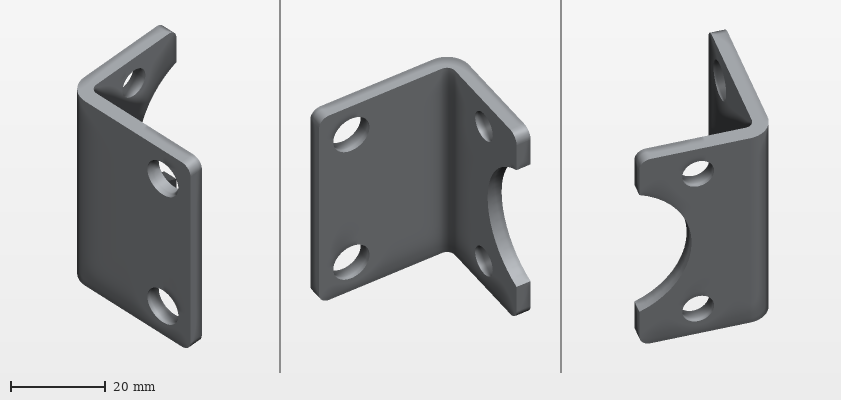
import cadquery as cq

width = 36.0
depth = 30.0
height = 52.0
thickness = 3.5

inner_bend_radius = 2.0
outer_bend_radius = inner_bend_radius + thickness
corner_radius = 2.5

front_hole_diameter = 9.0
front_hole_x = 28.0
front_hole_spacing = 36.0

side_hole_diameter = 7.0
side_hole_y = 17.0
side_hole_spacing = 38.0

cutout_radius = 17.5
cutout_center_y = 36.0


def bent_plate():
    """L-shaped plate with its outer bend edge along Z, centred on Z = 0."""
    plate = (
        cq.Workplane("XY")
        .workplane(offset=-height / 2)
        .polyline([
            (0, 0),
            (width, 0),
            (width, thickness),
            (thickness, thickness),
            (thickness, depth),
            (0, depth),
        ])
        .close()
        .extrude(height)
    )
    plate = plate.edges(cq.NearestToPointSelector((0, 0, 0))).fillet(outer_bend_radius)
    inner_edge = cq.NearestToPointSelector((thickness, thickness, 0))
    return plate.edges(inner_edge).fillet(inner_bend_radius)


def round_free_corners(plate):
    """Round the top and bottom corners at the free end of each leg."""
    plate = plate.faces(">X").edges("|Y").fillet(corner_radius)
    return plate.faces(">Y").edges("|X").fillet(corner_radius)


def front_cylinder(x, z, diameter):
    """Cutter along Y through the front leg."""
    start = cq.Vector(x, 0, z)
    return cq.Solid.makeCylinder(diameter / 2, thickness, start, cq.Vector(0, 1, 0))


def side_cylinder(y, z, diameter):
    """Cutter along X through the side leg."""
    start = cq.Vector(0, y, z)
    return cq.Solid.makeCylinder(diameter / 2, thickness, start, cq.Vector(1, 0, 0))


result = round_free_corners(bent_plate())

for side in (-1, 1):
    front_z = side * front_hole_spacing / 2
    side_z = side * side_hole_spacing / 2
    result = result.cut(front_cylinder(front_hole_x, front_z, front_hole_diameter))
    result = result.cut(side_cylinder(side_hole_y, side_z, side_hole_diameter))

result = result.cut(side_cylinder(cutout_center_y, 0, 2 * cutout_radius))